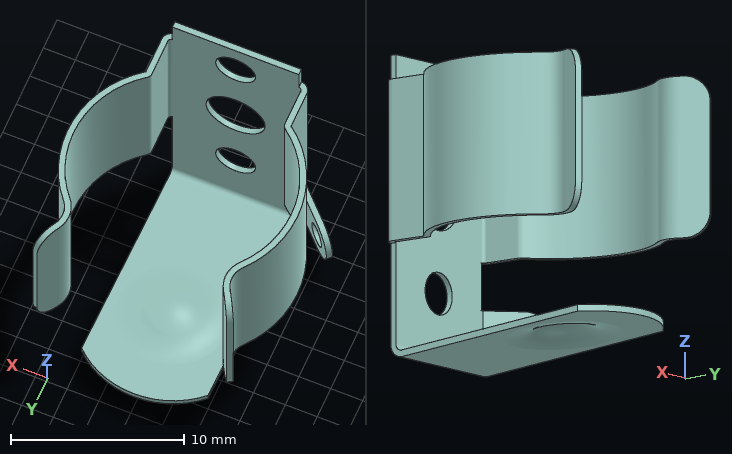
import cadquery as cq
import math

sheet = 0.4

plate_width = 7.95
plate_height = 17.82
plate_edge = plate_width / 2
middle_hole_diameter = 3.69
end_hole_diameter = 2.5
middle_hole_z = 9.9
hole_pitch = 5.56

foot_bend_inner = 0.4
foot_bend_outer = foot_bend_inner + sheet
foot_slope = 5.0
foot_reach = 15.41
foot_end_radius = 5.61

dimple_y = 9.57
dimple_radius = 3.35
dimple_rise = 1.03

arm_height = 9.52
arm_center_z = 11.51
arm_bend_inner = 0.2
arm_bend_outer = arm_bend_inner + sheet
leg_top_y = 2.9
barrel_radius = 6.63
barrel_center_y = 8.22
barrel_end_angle = 40.5
throat_radius = 1.35
lip_angle = 60.0
arm_reach = 15.66
lip_corner_radius = 1.5

tab_height = 3.0
tab_center_z = 2.46
tab_pivot_x = -4.1
tab_angle = 45.0
tab_length = 3.94
tab_hole_diameter = 1.5


def polar(center, radius, angle):
    """Point at an angle in degrees on a circle."""
    turn = math.radians(angle)
    return (center[0] + radius * math.cos(turn), center[1] + radius * math.sin(turn))


def make_plate_and_foot():
    """Bent strip: upright plate, bottom bend and sloping foot with a curved end."""
    slope = math.radians(foot_slope)
    bend_center = (foot_bend_outer, foot_bend_outer)
    bend_end = 270 + foot_slope
    bend_middle = (180 + bend_end) / 2
    outer_end = polar(bend_center, foot_bend_outer, bend_end)
    inner_end = polar(bend_center, foot_bend_inner, bend_end)
    strip = (
        cq.Workplane("YZ")
        .moveTo(0, plate_height)
        .lineTo(0, foot_bend_outer)
        .threePointArc(polar(bend_center, foot_bend_outer, bend_middle), outer_end)
        .lineTo(foot_reach, outer_end[1] + (foot_reach - outer_end[0]) * math.tan(slope))
        .lineTo(foot_reach, inner_end[1] + (foot_reach - inner_end[0]) * math.tan(slope))
        .lineTo(*inner_end)
        .threePointArc(polar(bend_center, foot_bend_inner, bend_middle), (sheet, foot_bend_outer))
        .lineTo(sheet, plate_height)
        .close()
        .extrude(plate_edge, both=True)
    )
    end_center_y = foot_reach - foot_end_radius
    corner_y = end_center_y + math.sqrt(foot_end_radius**2 - plate_edge**2)
    foot_outline = (
        cq.Workplane("XY")
        .moveTo(-plate_edge, 0)
        .lineTo(plate_edge, 0)
        .lineTo(plate_edge, corner_y)
        .threePointArc((0, foot_reach), (-plate_edge, corner_y))
        .close()
        .extrude(plate_height)
    )
    return strip.intersect(foot_outline)


def make_dimple_solid(depth):
    """Bell of two tangent arcs on the foot, set a depth below the upper skin of the sheet."""
    slope = math.radians(foot_slope)
    bend_top_y = foot_bend_outer + foot_bend_inner * math.sin(slope)
    bend_top_z = foot_bend_outer - foot_bend_inner * math.cos(slope)
    base_z = bend_top_z + (dimple_y - bend_top_y) * math.tan(slope)
    upright = cq.Plane(
        origin=(0, dimple_y, base_z),
        xDir=(1, 0, 0),
        normal=(0, -math.cos(slope), -math.sin(slope)),
    )
    skin_radius = (dimple_radius**2 + dimple_rise**2) / (4 * dimple_rise)
    flank_angle = math.degrees(math.asin(dimple_radius / 2 / skin_radius))
    crown_center = (0, dimple_rise - skin_radius)
    crown_radius = skin_radius - depth
    skirt_center = (dimple_radius, skin_radius)
    skirt_radius = skin_radius + depth
    return (
        cq.Workplane(upright)
        .moveTo(0, -depth)
        .lineTo(dimple_radius, -depth)
        .threePointArc(
            polar(skirt_center, skirt_radius, 270 - flank_angle / 2),
            polar(skirt_center, skirt_radius, 270 - flank_angle),
        )
        .threePointArc(
            polar(crown_center, crown_radius, 90 - flank_angle / 2),
            (0, dimple_rise - depth),
        )
        .close()
        .revolve(360, (0, 0, 0), (0, 1, 0))
    )


def make_arm():
    """Right-hand spring arm: bend, leg, barrel, reversed throat and straight lip."""
    leg_outer = plate_edge + arm_bend_outer
    leg_inner = plate_edge + arm_bend_inner
    bend_center = (plate_edge, arm_bend_outer)

    pivot = (leg_outer, leg_top_y)
    barrel_drop = barrel_center_y - leg_top_y
    barrel_center = (leg_outer - math.sqrt(barrel_radius**2 - barrel_drop**2), barrel_center_y)
    barrel_inner = barrel_radius - sheet
    barrel_start_angle = -math.degrees(math.asin(barrel_drop / barrel_radius))
    barrel_middle_angle = (barrel_start_angle + barrel_end_angle) / 2
    fold_middle_angle = 180 + barrel_start_angle / 2

    throat_center = polar(barrel_center, barrel_radius + throat_radius, barrel_end_angle)
    throat_inner = throat_radius + sheet
    throat_start_angle = 180 + barrel_end_angle
    throat_end_angle = 90 + lip_angle
    throat_middle_angle = (throat_start_angle + throat_end_angle) / 2
    lip_outer = polar(throat_center, throat_radius, throat_end_angle)
    lip_inner = polar(throat_center, throat_inner, throat_end_angle)
    lip_length = (arm_reach - lip_inner[1]) / math.sin(math.radians(lip_angle))
    tip_outer = polar(lip_outer, lip_length, lip_angle)
    tip_inner = polar(lip_inner, lip_length, lip_angle)

    arm = (
        cq.Workplane("XY")
        .workplane(offset=arm_center_z)
        .moveTo(plate_edge, 0)
        .threePointArc(polar(bend_center, arm_bend_outer, -45), (leg_outer, arm_bend_outer))
        .lineTo(*pivot)
        .threePointArc(
            polar(barrel_center, barrel_radius, barrel_middle_angle),
            polar(barrel_center, barrel_radius, barrel_end_angle),
        )
        .threePointArc(polar(throat_center, throat_radius, throat_middle_angle), lip_outer)
        .lineTo(*tip_outer)
        .lineTo(*tip_inner)
        .lineTo(*lip_inner)
        .threePointArc(
            polar(throat_center, throat_inner, throat_middle_angle),
            polar(throat_center, throat_inner, throat_start_angle),
        )
        .threePointArc(
            polar(barrel_center, barrel_inner, barrel_middle_angle),
            polar(barrel_center, barrel_inner, barrel_start_angle),
        )
        .threePointArc(polar(pivot, sheet, fold_middle_angle), (leg_inner, leg_top_y))
        .lineTo(leg_inner, arm_bend_outer)
        .threePointArc(polar(bend_center, arm_bend_inner, -45), (plate_edge, sheet))
        .close()
        .extrude(arm_height / 2, both=True)
    )
    tip_middle = ((tip_outer[0] + tip_inner[0]) / 2, (tip_outer[1] + tip_inner[1]) / 2)
    for end_z in (arm_center_z - arm_height / 2, arm_center_z + arm_height / 2):
        corner = cq.selectors.NearestToPointSelector((tip_middle[0], tip_middle[1], end_z))
        arm = arm.edges(corner).fillet(lip_corner_radius)
    return arm


def make_tab():
    """Solder tab folded back from the left edge of the plate, with a rounded, drilled end."""
    pivot = (tab_pivot_x, sheet)
    fold = (
        cq.Workplane("XY")
        .workplane(offset=tab_center_z)
        .moveTo(-plate_edge, sheet)
        .lineTo(*pivot)
        .lineTo(*polar(pivot, sheet, 270 - tab_angle))
        .threePointArc(polar(pivot, sheet, 270 - tab_angle / 2), (tab_pivot_x, 0))
        .lineTo(-plate_edge, 0)
        .close()
        .extrude(tab_height / 2, both=True)
    )
    turn = math.radians(tab_angle)
    inner_face = cq.Plane(
        origin=(tab_pivot_x, sheet, tab_center_z),
        xDir=(-math.cos(turn), math.sin(turn), 0),
        normal=(-math.sin(turn), -math.cos(turn), 0),
    )
    end_radius = tab_height / 2
    end_center = tab_length - end_radius
    blade = (
        cq.Workplane(inner_face)
        .moveTo(0, -end_radius)
        .lineTo(end_center, -end_radius)
        .threePointArc((tab_length, 0), (end_center, end_radius))
        .lineTo(0, end_radius)
        .close()
        .moveTo(end_center, 0)
        .circle(tab_hole_diameter / 2)
        .extrude(sheet)
    )
    return fold.union(blade)


def make_plate_hole(z, diameter):
    """Cutter for a round hole through the plate on its centre line."""
    return cq.Workplane("XZ").center(0, z).circle(diameter / 2).extrude(-sheet)


result = make_plate_and_foot()
result = result.union(make_dimple_solid(0)).cut(make_dimple_solid(sheet))

right_arm = make_arm()
result = result.union(right_arm).union(right_arm.mirror("YZ")).union(make_tab())

result = result.cut(make_plate_hole(middle_hole_z, middle_hole_diameter))
for side in (-1, 1):
    result = result.cut(make_plate_hole(middle_hole_z + side * hole_pitch, end_hole_diameter))